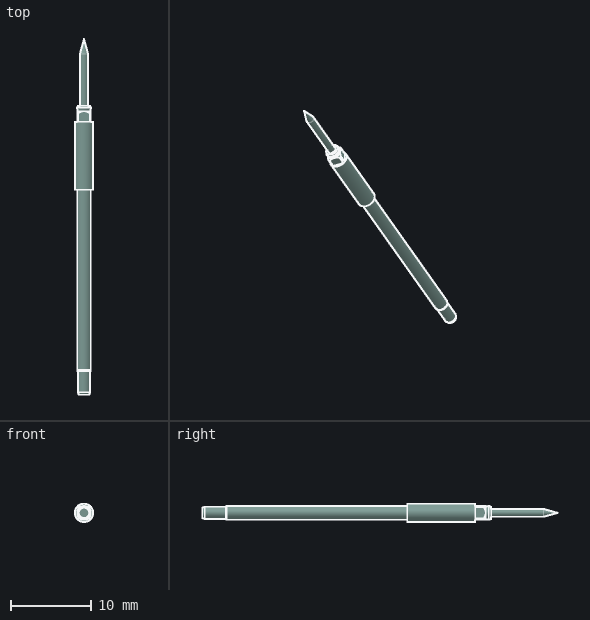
import cadquery as cq

total_length = 44.3
tip_y = total_length / 2
tail_y = -total_length / 2

plunger_diameter = 1.0
point_length = 1.8
plunger_length = 8.35

rim_diameter = 1.75
rim_face_diameter = 1.55
rim_front_length = 0.25
rim_rear_length = 0.4
rim_waist_diameter = 1.6
square_length = 1.35
square_width = 1.73
square_corner_diameter = 2.2
square_lead_in = 0.2

sleeve_diameter = 2.3
sleeve_length = 8.45
barrel_diameter = 1.73
barrel_chamfer_length = 0.15
barrel_chamfer_depth = 0.05

tail_diameter = 1.55
tail_length = 2.95
tail_chamfer_length = 0.3
tail_chamfer_depth = 0.15

point_base_y = tip_y - point_length
rim_face_y = tip_y - plunger_length
rim_peak_y = rim_face_y - rim_front_length
square_front_y = rim_peak_y - rim_rear_length
sleeve_front_y = square_front_y - square_length
sleeve_rear_y = sleeve_front_y - sleeve_length
barrel_rear_y = tail_y + tail_length


def turned_body():
    """Revolve the half outline about the Y axis."""
    outline = (
        cq.Workplane("XY")
        .moveTo(0, tip_y)
        .lineTo(plunger_diameter / 2, point_base_y)
        .lineTo(plunger_diameter / 2, rim_face_y)
        .lineTo(rim_face_diameter / 2, rim_face_y)
        .lineTo(rim_diameter / 2, rim_peak_y)
        .lineTo(rim_waist_diameter / 2, square_front_y)
        .lineTo(square_width / 2, square_front_y)
        .lineTo(square_corner_diameter / 2, square_front_y - square_lead_in)
        .lineTo(square_corner_diameter / 2, sleeve_front_y)
        .lineTo(sleeve_diameter / 2, sleeve_front_y)
        .lineTo(sleeve_diameter / 2, sleeve_rear_y)
        .lineTo(barrel_diameter / 2, sleeve_rear_y)
        .lineTo(barrel_diameter / 2, barrel_rear_y + barrel_chamfer_length)
        .lineTo(barrel_diameter / 2 - barrel_chamfer_depth, barrel_rear_y)
        .lineTo(tail_diameter / 2, barrel_rear_y)
        .lineTo(tail_diameter / 2, tail_y + tail_chamfer_length)
        .lineTo(tail_diameter / 2 - tail_chamfer_depth, tail_y)
        .lineTo(0, tail_y)
        .close()
    )
    return outline.revolve(360, (0, 0, 0), (0, 1, 0))


def flats_cutter():
    """Material outside the square section, between the rim and the sleeve."""
    block_size = (sleeve_diameter, square_length, sleeve_diameter)
    core_size = (square_width, square_length, square_width)
    middle = (0, (square_front_y + sleeve_front_y) / 2, 0)
    block = cq.Workplane("XY").box(*block_size)
    return block.cut(cq.Workplane("XY").box(*core_size)).translate(middle)


result = turned_body().cut(flats_cutter())